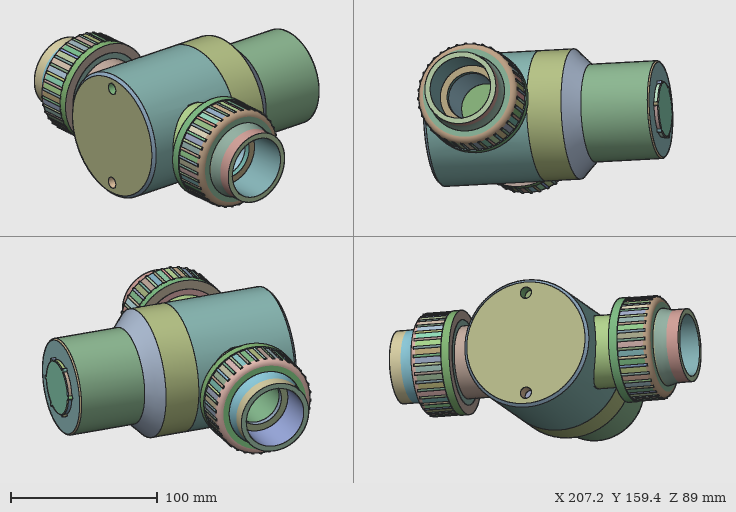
import cadquery as cq
import math

body_dia = 89.0
body_front_y = -41.9
body_bevel = 2.0
split_y = 31.3
bonnet_shoulder_y = 55.5
bonnet_neck_dia = 67.0
bonnet_end_y = 114.4
bonnet_bevel = 1.0
shoulder_length = (body_dia - bonnet_neck_dia) / 2

front_hole_dia = 7.9
front_hole_depth = 10.4
front_hole_offset = 35.0

cap_dia = 38.0
cap_height = 3.1
cap_bevel = 0.6
lug_count = 6
lug_dia = 2.7
lug_reach = 20.5

pipe_end_x = 103.6
pipe_dia = 50.0
flow_dia = 33.0

connector_seat_x = 36.3
joint_x = 71.7
collar_dia = 58.5
collar_overhang = 0.2

socket_dia = 42.5
socket_depth = 27.8
tail_shoulder_dia = 53.0
tail_straight_length = 8.3
tail_flare_length = 8.3
tail_flange_dia = 56.5
tail_flange_length = 4.1

nut_back_x = 57.2
nut_face_x = 86.0
nut_flange_dia = 71.5
nut_flange_length = 6.0
nut_grip_dia = 69.6
nut_face_round = 4.1

rib_count = 36
rib_dia = 2.0
rib_height = 0.6
rib_overrun = 1.2
rib_turn = 2.8


def turned_about_y(points):
    """Solid of revolution from (radius, y) points."""
    return cq.Workplane("XY").polyline(points).close().revolve(360, (0, 0, 0), (0, 1, 0))


def turned_about_x(points):
    """Solid of revolution from (x, radius) points."""
    return cq.Workplane("XY").polyline(points).close().revolve(360, (0, 0, 0), (1, 0, 0))


def rod_along_x(start_x, end_x, dia):
    return cq.Workplane("YZ", origin=(start_x, 0, 0)).circle(dia / 2).extrude(end_x - start_x)


def rod_along_y(start_y, length, dia, x=0.0, z=0.0):
    return cq.Workplane("XZ", origin=(x, start_y, z)).circle(dia / 2).extrude(-length)


def make_housing():
    radius = body_dia / 2
    housing = turned_about_y([
        (0, body_front_y),
        (radius - body_bevel, body_front_y),
        (radius, body_front_y + body_bevel),
        (radius, split_y),
        (0, split_y),
    ])
    for side in (-1, 1):
        seat = rod_along_x(side * connector_seat_x, side * radius, pipe_dia)
        front_hole = rod_along_y(body_front_y, front_hole_depth, front_hole_dia, z=side * front_hole_offset)
        housing = housing.cut(seat).cut(front_hole)
    return housing


def make_bonnet():
    neck_radius = bonnet_neck_dia / 2
    return turned_about_y([
        (0, split_y),
        (body_dia / 2, split_y),
        (body_dia / 2, bonnet_shoulder_y),
        (neck_radius, bonnet_shoulder_y + shoulder_length),
        (neck_radius, bonnet_end_y - bonnet_bevel),
        (neck_radius - bonnet_bevel, bonnet_end_y),
        (0, bonnet_end_y),
    ])


def make_cap():
    cap = rod_along_y(bonnet_end_y, cap_height, cap_dia).faces(">Y").chamfer(cap_bevel)
    lug_circle_radius = lug_reach - lug_dia / 2
    for i in range(lug_count):
        angle = 2 * math.pi * i / lug_count
        lug_x = lug_circle_radius * math.cos(angle)
        lug_z = lug_circle_radius * math.sin(angle)
        cap = cap.union(rod_along_y(bonnet_end_y, cap_height, lug_dia, lug_x, lug_z))
    return cap


def make_connector():
    """Tube from the housing to the joint, with a collar inside the nut."""
    collar_start_x = nut_back_x - collar_overhang
    return turned_about_x([
        (connector_seat_x, flow_dia / 2),
        (connector_seat_x, pipe_dia / 2),
        (collar_start_x, pipe_dia / 2),
        (collar_start_x, collar_dia / 2),
        (joint_x, collar_dia / 2),
        (joint_x, flow_dia / 2),
    ])


def make_tailpiece():
    """Pipe socket with a flange that the nut pulls against the connector."""
    socket_floor_x = pipe_end_x - socket_depth
    flange_end_x = joint_x + tail_flange_length
    straight_start_x = pipe_end_x - tail_straight_length
    flare_end_x = straight_start_x - tail_flare_length
    return (
        cq.Workplane("XY")
        .moveTo(socket_floor_x, flow_dia / 2)
        .lineTo(socket_floor_x, socket_dia / 2)
        .lineTo(pipe_end_x, socket_dia / 2)
        .lineTo(pipe_end_x, pipe_dia / 2)
        .lineTo(straight_start_x, pipe_dia / 2)
        .tangentArcPoint((flare_end_x, tail_shoulder_dia / 2), relative=False)
        .lineTo(flange_end_x, tail_shoulder_dia / 2)
        .lineTo(flange_end_x, tail_flange_dia / 2)
        .lineTo(joint_x, tail_flange_dia / 2)
        .lineTo(joint_x, flow_dia / 2)
        .close()
        .revolve(360, (0, 0, 0), (1, 0, 0))
    )


def make_nut():
    grip_radius = nut_grip_dia / 2
    flange_end_x = nut_back_x + nut_flange_length
    round_start_x = nut_face_x - nut_face_round

    flange = rod_along_x(nut_back_x, flange_end_x, nut_flange_dia)
    grip = rod_along_x(flange_end_x, nut_face_x, nut_grip_dia).faces(">X").edges().fillet(nut_face_round)
    ribs = (
        cq.Workplane("YZ", origin=(flange_end_x, 0, 0))
        .polarArray(grip_radius + rib_height - rib_dia / 2, 180 + rib_turn, 360, rib_count)
        .circle(rib_dia / 2)
        .extrude(round_start_x + rib_overrun - flange_end_x)
    )
    flange_seat_x = joint_x + tail_flange_length
    return (
        flange.union(grip)
        .union(ribs)
        .cut(rod_along_x(nut_back_x, joint_x, collar_dia))
        .cut(rod_along_x(joint_x, flange_seat_x, tail_flange_dia))
        .cut(rod_along_x(flange_seat_x, nut_face_x, tail_shoulder_dia))
    )


housing = make_housing()
bonnet = make_bonnet()
cap = make_cap()

pipe_bodies = []
for make_body in (make_connector, make_tailpiece, make_nut):
    right_body = make_body()
    left_body = right_body.mirror("YZ")
    pipe_bodies += [right_body.val(), left_body.val()]

result = cq.Compound.makeCompound([housing.val(), bonnet.val(), cap.val(), *pipe_bodies])